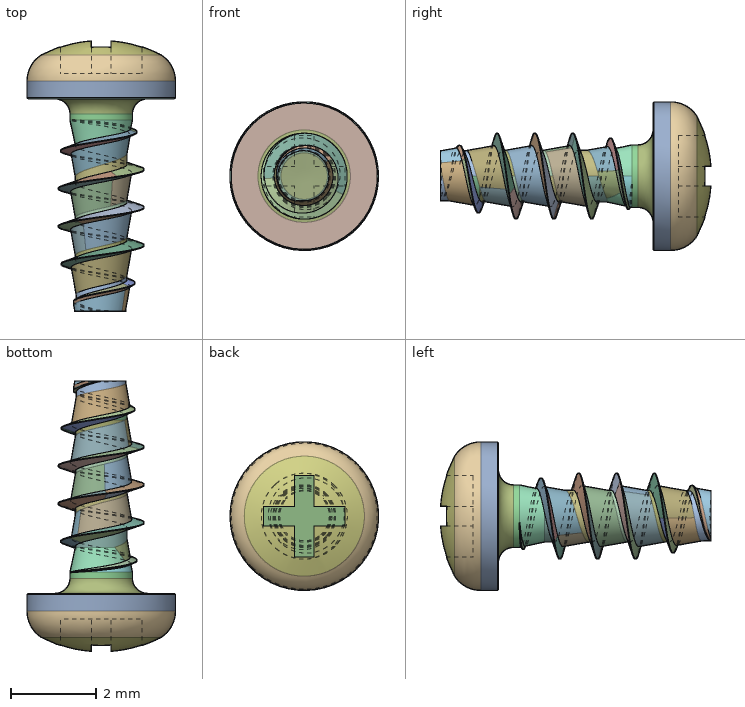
import cadquery as cq
import math


head_radius = 1.75
head_height = 1.37
head_edge_chamfer = 0.03
head_band_height = 0.42
shoulder_radius = 1.41
shoulder_height = 1.035

recess_wing_width = 0.46
recess_span = 1.92
recess_depth = 0.765

pitch = 0.89

overall_length = 6.36
shank_length = overall_length - head_height
neck_radius = 0.74
neck_fillet = 0.35
neck_overlap = 0.065
neck_end = 0.495
core_radius = 0.61
core_start = 1.08
tip_radius = 0.58
tip_taper_length = 0.92
tip_overrun = 2 * pitch
tip_rim_width = 0.03
tip_dish_depth = 0.03

crest_radius = 1.01
crest_width = 0.02
upper_flank_width = 0.13
lower_flank_width = 0.075
ramp_top_radius = 0.72
ramp_end_radius = 0.605
turn_gap = 0.02
buried_radius = 0.55
thread_start_depth = 0.485
thread_start_turn = -0.55
lead_in_blend = 0.46
full_height_from = 0.75
full_height_to = 3.25
thread_end_turn = 5.25
start_inset = 0.29
end_inset = 0.57
buried_inset_share = 0.45
ramp_inset_share = 0.2
piece_turns = 0.58
points_per_piece = 12


def revolve_profile(profile):
    return profile.close().revolve(360, (0, 0, 0), (0, 1, 0))


def make_head():
    corner_radius = recess_wing_width / math.sqrt(2)
    squares_difference = corner_radius**2 + head_height**2 - shoulder_radius**2 - shoulder_height**2
    dome_center = squares_difference / (2 * (head_height - shoulder_height))
    dome_radius = math.hypot(corner_radius, head_height - dome_center)
    blank = revolve_profile(
        cq.Workplane("XY")
        .moveTo(0, 0)
        .lineTo(head_radius - head_edge_chamfer, 0)
        .lineTo(head_radius, head_edge_chamfer)
        .lineTo(head_radius, head_band_height)
        .tangentArcPoint((shoulder_radius, shoulder_height), relative=False)
        .threePointArc((corner_radius, head_height), (0, dome_center + dome_radius))
    )
    recess_center = head_height - recess_depth + head_height / 2
    for size_x, size_z in ((recess_span, recess_wing_width), (recess_wing_width, recess_span)):
        wing = cq.Workplane("XY").box(size_x, head_height, size_z).translate((0, recess_center, 0))
        blank = blank.cut(wing)
    return blank


def make_shank():
    tip_slope = (core_radius - tip_radius) / tip_taper_length
    overrun_radius = tip_radius - tip_slope * tip_overrun
    fillet_mid = neck_fillet * (1 - math.sqrt(0.5))
    return revolve_profile(
        cq.Workplane("XY")
        .moveTo(0, neck_overlap)
        .lineTo(neck_radius + neck_fillet, neck_overlap)
        .lineTo(neck_radius + neck_fillet, 0)
        .threePointArc((neck_radius + fillet_mid, -fillet_mid), (neck_radius, -neck_fillet))
        .lineTo(neck_radius, -neck_end)
        .lineTo(core_radius, -core_start)
        .lineTo(core_radius, tip_taper_length - shank_length)
        .lineTo(overrun_radius, -shank_length - tip_overrun)
        .lineTo(0, -shank_length - tip_overrun)
    )


def thread_height(turn):
    """Y of the thread crest: parabolic lead-in, then constant pitch."""
    progress = turn - thread_start_turn
    if progress < lead_in_blend:
        return -thread_start_depth - pitch * progress**2 / (2 * lead_in_blend)
    return -thread_start_depth - pitch * (progress - lead_in_blend / 2)


def crest_inset(turn):
    """Radial distance by which the thread sinks towards the core near its two ends."""
    if turn < full_height_from:
        return start_inset * (full_height_from - turn) / (full_height_from - thread_start_turn)
    if turn > full_height_to:
        return end_inset * (turn - full_height_to) / (thread_end_turn - full_height_to)
    return 0


def helix_piece(first_turn, radius, inset_share, offset, turns_ahead):
    """One short piece of a helical edge that sinks with the crest near the thread ends."""
    points = []
    for i in range(points_per_piece + 1):
        turn = first_turn + piece_turns * i / points_per_piece
        r = radius - inset_share * crest_inset(turn)
        angle = 2 * math.pi * turn
        y = thread_height(turn + turns_ahead) + offset
        points.append(cq.Vector(r * math.cos(angle), y, r * math.sin(angle)))
    return cq.Edge.makeSpline(points)


def cap_face(rails, end):
    """Flat face closing the thread section at one end of its edges."""
    corners = [rail.positionAt(end) for rail in rails]
    return cq.Face.makeFromWires(cq.Wire.makePolygon(corners, close=True))


def make_thread():
    """Thread and the sloping root below it, as one section carried down the helix."""
    flank_slope = (upper_flank_width - crest_width / 2) / (crest_radius - core_radius)
    buried_offset = crest_width / 2 + flank_slope * (crest_radius - buried_radius)
    ramp_end_offset = buried_offset + turn_gap
    section = [
        (buried_radius, buried_inset_share, buried_offset, 0),
        (crest_radius, 1, crest_width / 2, 0),
        (crest_radius, 1, -crest_width / 2, 0),
        (ramp_top_radius, ramp_inset_share, -lower_flank_width, 0),
        (ramp_end_radius, ramp_inset_share, ramp_end_offset, 1),
        (buried_radius, buried_inset_share, ramp_end_offset, 1),
    ]
    faces = []
    piece_count = round((thread_end_turn - thread_start_turn) / piece_turns)
    for piece in range(piece_count):
        first_turn = thread_start_turn + piece * piece_turns
        rails = [helix_piece(first_turn, *corner) for corner in section]
        faces += [cq.Face.makeRuledSurface(a, b) for a, b in zip(rails, rails[1:] + rails[:1])]
        if piece == 0:
            faces.append(cap_face(rails, 0))
    faces.append(cap_face(rails, 1))
    thread = cq.Solid.makeSolid(cq.Shell.makeShell(faces))
    return cq.Workplane(thread.fix())


def trim_tip(screw):
    """Cut the overlong shank square and dish its end, leaving a narrow flat rim."""
    below = cq.Workplane("XZ").workplane(offset=shank_length).circle(head_radius).extrude(2 * tip_overrun)
    dish = revolve_profile(
        cq.Workplane("XY")
        .moveTo(0, tip_dish_depth - shank_length)
        .lineTo(tip_radius - tip_rim_width, -shank_length)
        .lineTo(0, -shank_length)
    )
    return screw.cut(below).cut(dish)


shank = make_shank().union(make_thread())
result = make_head().union(trim_tip(shank))